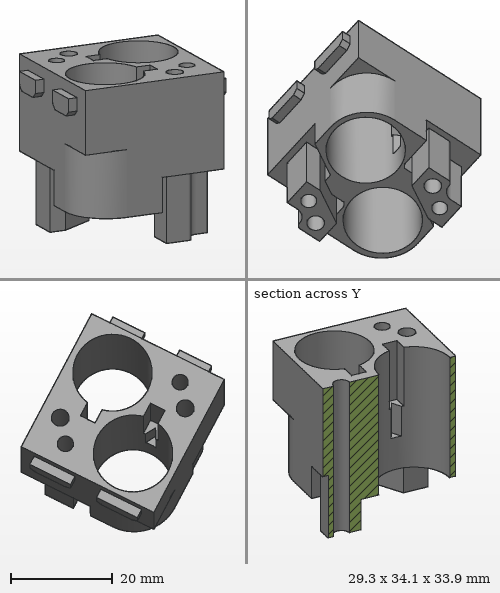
import cadquery as cq
import math


block_x = 29.3
block_y = 30.35
block_depth = 27.08
total_depth = 33.9
total_y = 34.1
corner_radius = 9.0
corner_top_depth = 13.2
notch_depth = 19.88

bore_diameter = 15.6
bore_x = 9.1
bore_y = 21.55
slot_width = 3.2
slot_front_y = 10.9
slot_depth = corner_top_depth
groove_tip_y = 11.83
groove_tip_angle = 60.0
groove_depth = notch_depth

foot_left = 1.2
foot_right = 10.8
foot_front = 1.35
foot_back = 12.0
bevel_start_y = 4.75
bevel_angle = 60.0
relief_flat_length = 2.45
relief_radius = 2.42
relief_lip_radius = 0.95

notch_gap = 1.5
web_left = 7.85
web_right = 11.6
web_front = 6.92

foot_holes = [
    (4.15, 8.73, 3.45),
    (7.47, 4.47, 3.15),
]

tab_length = (total_y - block_y) / 2
tab_top_depth = 2.4
tab_height = 3.8
tab_chamfer = 1.05
tab_pitch = 14.73
front_tab_width = 7.05
front_tab_x = 7.3
back_tab_width = 9.0
back_tab_x = 7.2

bevel_run = (foot_back - bevel_start_y) / math.tan(math.radians(bevel_angle))
bevel_end_x = foot_right - bevel_run


def half_turn(shape):
    """The shape turned half way round the block's vertical centre line."""
    centre_x = block_x / 2
    centre_y = block_y / 2
    return shape.rotate((centre_x, centre_y, 0), (centre_x, centre_y, 1), 180)


def with_opposite(shape):
    """The shape together with its half-turn copy."""
    return shape.union(half_turn(shape))


def at_depth(depth):
    """A horizontal workplane the given depth below the top face."""
    return cq.Workplane("XY", origin=(0, 0, -depth))


def box_between(x0, x1, y0, y1, top, bottom):
    """A box between two depths."""
    centre = ((x0 + x1) / 2, (y0 + y1) / 2)
    return at_depth(bottom).center(*centre).rect(x1 - x0, y1 - y0).extrude(bottom - top)


def block():
    """The block, with two opposite lower corners rounded."""
    upper = box_between(0, block_x, 0, block_y, 0, corner_top_depth)
    lower = box_between(0, block_x, 0, block_y, corner_top_depth, block_depth)
    lower = lower.faces("<X").edges(">Y").fillet(corner_radius)
    return upper.union(lower.intersect(half_turn(lower)))


def notch():
    """The clearance round the foot: its back and bevel offset outward by the gap."""
    angle = math.radians(bevel_angle)
    normal_x = math.sin(angle)
    normal_y = math.cos(angle)
    bend_end_x = bevel_end_x + notch_gap * normal_x
    bend_end_y = foot_back + notch_gap * normal_y
    bend_mid_x = bevel_end_x + notch_gap * math.sin(angle / 2)
    bend_mid_y = foot_back + notch_gap * math.cos(angle / 2)
    front_x = bend_end_x + bend_end_y / math.tan(angle)
    clearance = (
        at_depth(block_depth)
        .lineTo(front_x, 0)
        .lineTo(bend_end_x, bend_end_y)
        .threePointArc((bend_mid_x, bend_mid_y), (bevel_end_x, foot_back + notch_gap))
        .lineTo(0, foot_back + notch_gap)
        .close()
        .extrude(block_depth - notch_depth)
    )
    web = box_between(
        web_left, web_right, web_front, foot_back + notch_gap, notch_depth, block_depth
    )
    return clearance.cut(web)


def foot():
    """The foot: a bevelled inner corner and a round relief in the outer corner."""
    lip_x = foot_left + relief_lip_radius
    relief_flat_x = lip_x + relief_radius
    relief_centre_y = foot_front + relief_flat_length
    lip_y = relief_centre_y + relief_radius
    return (
        at_depth(total_depth)
        .moveTo(relief_flat_x, foot_front)
        .lineTo(foot_right, foot_front)
        .lineTo(foot_right, bevel_start_y)
        .lineTo(bevel_end_x, foot_back)
        .lineTo(foot_left, foot_back)
        .lineTo(foot_left, lip_y + relief_lip_radius)
        .radiusArc((lip_x, lip_y), -relief_lip_radius)
        .radiusArc((relief_flat_x, relief_centre_y), relief_radius)
        .close()
        .extrude(total_depth - notch_depth)
    )


def bore():
    """A through bore with a key slot, and a V groove in the slot's floor."""
    hole = at_depth(block_depth).center(bore_x, bore_y).circle(bore_diameter / 2).extrude(block_depth)
    slot = box_between(
        bore_x - slot_width / 2, bore_x + slot_width / 2, slot_front_y, bore_y, 0, slot_depth
    )
    groove_half_width = (bore_y - groove_tip_y) * math.tan(math.radians(groove_tip_angle / 2))
    groove = (
        at_depth(groove_depth)
        .moveTo(bore_x, groove_tip_y)
        .lineTo(bore_x + groove_half_width, bore_y)
        .lineTo(bore_x - groove_half_width, bore_y)
        .close()
        .extrude(groove_depth - slot_depth)
    )
    return hole.union(slot).union(groove)


def foot_hole(x, y, diameter):
    """A vertical hole from the top face out through the end of the foot."""
    return at_depth(total_depth).center(x, y).circle(diameter / 2).extrude(total_depth)


def tab(centre_x, width):
    """A side tab with its two lower corners chamfered, on the front face."""
    centre_depth = tab_top_depth + tab_height / 2
    return (
        cq.Workplane("XZ", origin=(centre_x, 0, -centre_depth))
        .rect(width, tab_height)
        .extrude(tab_length)
        .faces("<Z").edges("|Y")
        .chamfer(tab_chamfer)
    )


result = block().cut(with_opposite(notch())).union(with_opposite(foot()))

result = result.cut(with_opposite(bore()))
for x, y, diameter in foot_holes:
    result = result.cut(with_opposite(foot_hole(x, y, diameter)))

for step in range(2):
    shift = step * tab_pitch
    result = result.union(tab(front_tab_x + shift, front_tab_width))
    back_tab = tab(block_x - back_tab_x - shift, back_tab_width)
    result = result.union(half_turn(back_tab))